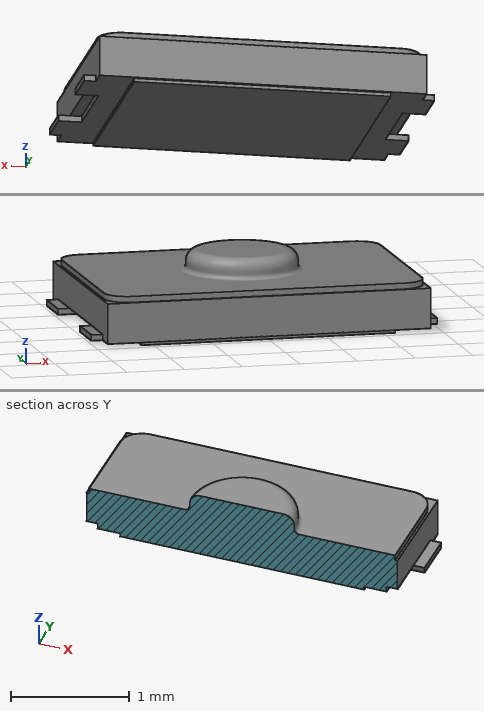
import cadquery as cq

body_length = 2.802
body_width = 1.9
body_height = 0.345

cover_margin = 0.02
cover_height = 0.05
cover_corner_radius = 0.2

plate_length = 2.2
plate_width = 1.84
plate_height = 0.03

overall_length = 3.0
terminal_width = 0.4
terminal_height = 0.05
terminal_offset_y = 0.575

button_radius = 0.475
button_height = 0.175
button_edge_radius = 0.102
foot_flare_radius = 0.042

notch_depth = 0.1
notch_width = 2 * terminal_offset_y - terminal_width

cover_top = body_height + cover_height
button_top = cover_top + button_height


def block(length, width, height, bottom):
    """Centred rectangular block standing on the given level."""
    return cq.Workplane("XY").workplane(offset=bottom).rect(length, width).extrude(height)


def make_cover():
    length = body_length - 2 * cover_margin
    width = body_width - 2 * cover_margin
    cover = block(length, width, cover_height, body_height)
    return cover.edges("|Z").fillet(cover_corner_radius)


def make_button():
    """Revolve the half profile: concave flare, straight wall, rounded edge."""
    foot_radius = button_radius + foot_flare_radius
    wall_bottom = cover_top + foot_flare_radius
    wall_top = button_top - button_edge_radius
    flat_radius = button_radius - button_edge_radius
    return (
        cq.Workplane("XZ")
        .moveTo(0, body_height)
        .lineTo(foot_radius, body_height)
        .lineTo(foot_radius, cover_top)
        .radiusArc((button_radius, wall_bottom), foot_flare_radius)
        .lineTo(button_radius, wall_top)
        .radiusArc((flat_radius, button_top), -button_edge_radius)
        .lineTo(0, button_top)
        .close()
        .revolve(360, (0, 0, 0), (0, 1, 0))
    )


result = block(body_length, body_width, body_height, 0)
result = result.union(make_cover())
result = result.union(block(plate_length, plate_width, plate_height, -plate_height))

for side in (-1, 1):
    bar = block(overall_length, terminal_width, terminal_height, 0)
    result = result.union(bar.translate((0, side * terminal_offset_y, 0)))

for end in (-1, 1):
    notch = block(2 * notch_depth, notch_width, terminal_height, 0)
    result = result.cut(notch.translate((end * body_length / 2, 0, 0)))

result = result.union(make_button())